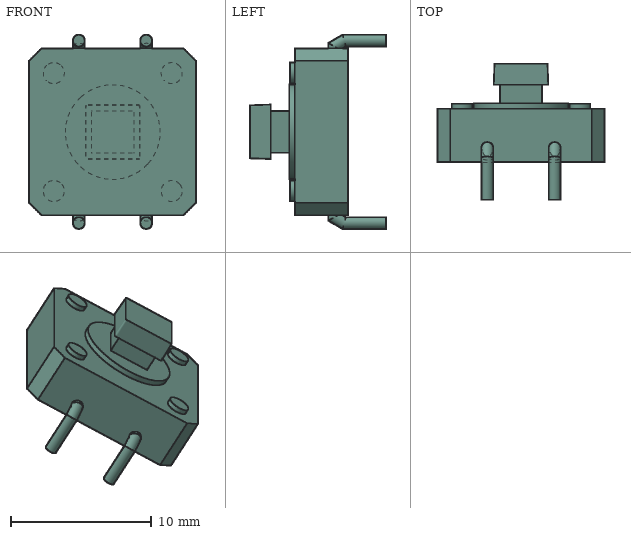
import cadquery as cq
import math


housing_width = 11.9
housing_depth = 3.8
corner_chamfer = 0.9
rivet_diameter = 1.5
rivet_height = 0.35
rivet_offset = 4.2

collar_diameter = 6.75
collar_height = 0.4

switch_height = 7.0
stem_width = 3.0
head_width = 3.9
head_height = 1.5
head_taper = 2.0
head_corner_radius = 0.15

pin_diameter = 0.85
pin_pitch_x = 4.8
pin_pitch_z = 13.0
pin_tip_y = -2.7
pin_exit_y = 1.0
pin_bend_y = 0.28
pin_slope = 30.0

half_width = housing_width / 2
collar_top_y = housing_depth + collar_height
head_base_y = switch_height - head_height


def plane_at(y):
    """Sketch plane at height y, with its normal along +Y."""
    return cq.Workplane(cq.Plane(origin=(0, y, 0), xDir=(1, 0, 0), normal=(0, 1, 0)))


def make_housing():
    block = (
        plane_at(0)
        .rect(housing_width, housing_width)
        .extrude(housing_depth)
        .edges("|Y")
        .chamfer(corner_chamfer)
    )
    rivets = (
        plane_at(housing_depth)
        .rect(2 * rivet_offset, 2 * rivet_offset, forConstruction=True)
        .vertices()
        .circle(rivet_diameter / 2)
        .extrude(rivet_height)
    )
    return block.union(rivets)


def make_collar():
    return plane_at(housing_depth).circle(collar_diameter / 2).extrude(collar_height)


def make_button():
    stem = plane_at(collar_top_y).rect(stem_width, stem_width).extrude(head_base_y - collar_top_y)
    head = (
        plane_at(head_base_y)
        .sketch()
        .rect(head_width, head_width)
        .vertices()
        .fillet(head_corner_radius)
        .finalize()
        .extrude(head_height, taper=head_taper)
    )
    return stem.union(head)


def make_pin(x, side):
    """Bent round pin leaving the housing wall at +Z (side = 1) or -Z (side = -1)."""
    leg_z = pin_pitch_z / 2
    exit_z = leg_z - (pin_exit_y - pin_bend_y) * math.tan(math.radians(pin_slope))
    start_z = half_width - pin_diameter
    path = cq.Workplane("YZ", origin=(x, 0, 0)).polyline(
        [
            (pin_exit_y, side * start_z),
            (pin_exit_y, side * exit_z),
            (pin_bend_y, side * leg_z),
            (pin_tip_y, side * leg_z),
        ]
    )
    wire = (
        cq.Workplane("XY", origin=(x, pin_exit_y, side * start_z))
        .circle(pin_diameter / 2)
        .sweep(path, transition="right")
    )
    inside_walls = cq.Workplane("XY").box(housing_width, housing_width, housing_width)
    return wire.cut(inside_walls)


housing = make_housing()
collar = make_collar()
button = make_button()
pins = [
    make_pin(x, side)
    for x in (-pin_pitch_x / 2, pin_pitch_x / 2)
    for side in (1, -1)
]

result = cq.Compound.makeCompound(
    [housing.val(), collar.val(), button.val(), *[pin.val() for pin in pins]]
)